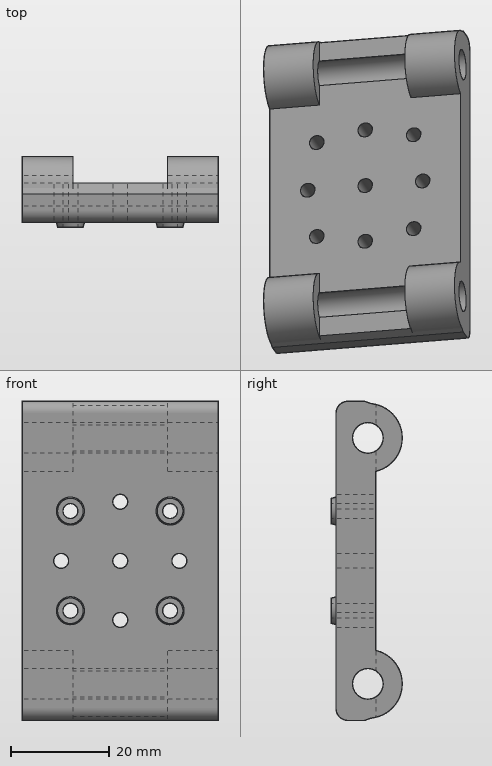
import cadquery as cq
import math

width = 40.0
height = 65.0
plate_thickness = 8.1
front_edge_radius = 2.5
top_flat_end = 5.85
back_edge_drop = 0.85

knuckle_width = 10.4
knuckle_radius = 7.0
pin_diameter = 6.2
pin_depth = 6.5
pin_height = height / 2 - 7.5
flat_angle = 11.0
flat_front = 6.95

hole_diameter = 3.0
cross_hole_offset = 12.0
ring_offset = 10.15
ring_base_diameter = 5.7
ring_top_diameter = 5.2
ring_height = 1.0

ring_points = [(x, z) for x in (-ring_offset, ring_offset) for z in (-ring_offset, ring_offset)]
cross_points = [
    (0, 0),
    (cross_hole_offset, 0),
    (-cross_hole_offset, 0),
    (0, cross_hole_offset),
    (0, -cross_hole_offset),
]


def make_plate():
    """Extrude the side profile across the width and round the two front edges."""
    half = height / 2
    profile = [
        (0, -half),
        (top_flat_end, -half),
        (plate_thickness, -half + back_edge_drop),
        (plate_thickness, half - back_edge_drop),
        (top_flat_end, half),
        (0, half),
    ]
    plate = cq.Workplane("YZ").polyline(profile).close().extrude(width / 2, both=True)
    return plate.faces("<Y").edges("|X").fillet(front_edge_radius)


def pin_cylinders(diameter, start, length):
    """Two cylinders along X, one on each pin axis."""
    centers = [(pin_depth, -pin_height), (pin_depth, pin_height)]
    plane = cq.Workplane("YZ", origin=(start, 0, 0))
    return plane.pushPoints(centers).circle(diameter / 2).extrude(length)


def make_knuckles(start):
    """An upper and a lower knuckle, each with a tangent flat running onto the plate slope."""
    knuckles = pin_cylinders(2 * knuckle_radius, start, knuckle_width)
    angle = math.radians(flat_angle)
    tangent_y = pin_depth + knuckle_radius * math.sin(angle)
    tangent_z = pin_height + knuckle_radius * math.cos(angle)
    flat_front_z = tangent_z + (tangent_y - flat_front) * math.tan(angle)
    for side in (-1, 1):
        wedge = [
            (pin_depth, side * pin_height),
            (tangent_y, side * tangent_z),
            (flat_front, side * flat_front_z),
        ]
        plane = cq.Workplane("YZ", origin=(start, 0, 0))
        knuckles = knuckles.union(plane.polyline(wedge).close().extrude(knuckle_width))
    front_space = cq.Workplane("XY").box(
        width, knuckle_radius, height, centered=(True, False, True)
    )
    return knuckles.cut(front_space.translate((0, -knuckle_radius, 0)))


def make_rings():
    """Raised bosses tapering outward from the front face."""
    taper = math.atan2((ring_base_diameter - ring_top_diameter) / 2, ring_height)
    bases = cq.Workplane("XZ").pushPoints(ring_points).circle(ring_base_diameter / 2)
    return bases.extrude(ring_height, taper=math.degrees(taper))


def make_holes():
    """Cutters through the rings and the plate."""
    plane = cq.Workplane("XZ", origin=(0, plate_thickness, 0))
    return plane.pushPoints(ring_points + cross_points).circle(hole_diameter / 2).extrude(
        plate_thickness + ring_height
    )


result = make_plate()
for knuckle_start in (-width / 2, width / 2 - knuckle_width):
    result = result.union(make_knuckles(knuckle_start))
result = result.union(make_rings())
result = result.cut(pin_cylinders(pin_diameter, -width / 2, width))
result = result.cut(make_holes())